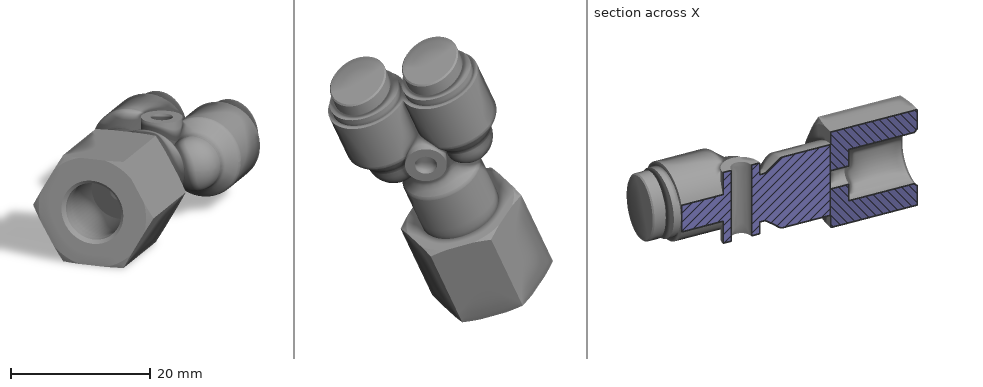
import cadquery as cq
import math


total_length = 42
port_offset = 5.5
barrel_diameter = 11.9
waist_diameter = 8
cone_length = 2.5
stem_blend_radius = 0.85
port_blend_radius = 1.0

nut_length = 14.0
nut_across_flats = 16.0
nut_face_diameter = 16.45
nut_corner_chamfer = 0.38
nut_corner_diameter = nut_across_flats / math.cos(math.pi / 6)
bore_diameter = 8.5
bore_depth = 11.0
bore_mouth_diameter = 9.5
bore_chamfer = (bore_mouth_diameter - bore_diameter) / 2
passage_diameter = 3.0

stem_shoulder_y = 22.0
ball_center_y = 26.95
barrel_shoulder_y = 30.0
barrel_end_y = 38.05
boss_y = 28.4
boss_diameter = 6.0
boss_hole_diameter = 3.2

guide_diameter = 10.6
guide_end_y = 39.2
sleeve_neck_diameter = 5.5
sleeve_head_y = 40.0
sleeve_head_width = 8.6
sleeve_head_height = 10.5
sleeve_chamfer = 0.2

waist_radius = waist_diameter / 2
barrel_radius = barrel_diameter / 2


def section_at(y, x=0):
    """Sketch plane across the Y axis; extrusions from it run toward +Y."""
    return cq.Workplane(cq.Plane(origin=(x, y, 0), xDir=(1, 0, 0), normal=(0, 1, 0)))


def revolve_about_y(profile):
    """Turn a closed half profile, drawn in XY, around the Y axis."""
    return profile.revolve(360, (0, 0, 0), (0, 1, 0))


def blend_edges(solid, shoulder_y, waist_y, radius):
    """Round the circular edges at both ends of a cone."""
    tolerance = 0.005
    for y in (shoulder_y, waist_y):
        slab = cq.selectors.BoxSelector(
            (-total_length, y - tolerance, -total_length),
            (total_length, y + tolerance, total_length),
        )
        solid = solid.edges(slab).fillet(radius)
    return solid


def make_stem():
    """Stem behind the nut, narrowing to the waist and reaching into the ports."""
    waist_y = stem_shoulder_y + cone_length
    profile = (
        cq.Workplane("XY")
        .moveTo(0, nut_length)
        .lineTo(barrel_radius, nut_length)
        .lineTo(barrel_radius, stem_shoulder_y)
        .lineTo(waist_radius, waist_y)
        .lineTo(waist_radius, barrel_shoulder_y)
        .lineTo(0, barrel_shoulder_y)
        .close()
    )
    return blend_edges(revolve_about_y(profile), stem_shoulder_y, waist_y, stem_blend_radius)


def make_port(x):
    """Port barrel, narrowing to a waist that is closed by a half ball."""
    waist_y = barrel_shoulder_y - cone_length
    half_chord = waist_radius * math.sqrt(0.5)
    profile = (
        cq.Workplane("XY")
        .moveTo(0, ball_center_y - waist_radius)
        .threePointArc((half_chord, ball_center_y - half_chord), (waist_radius, ball_center_y))
        .lineTo(waist_radius, waist_y)
        .lineTo(barrel_radius, barrel_shoulder_y)
        .lineTo(barrel_radius, barrel_end_y)
        .lineTo(0, barrel_end_y)
        .close()
    )
    port = blend_edges(revolve_about_y(profile), barrel_shoulder_y, waist_y, port_blend_radius)
    return port.translate((x, 0, 0))


def make_housing():
    """One-piece body: stem, two ports and a cross boss with its through hole."""
    housing = make_stem()
    for x in (-port_offset, port_offset):
        housing = housing.union(make_port(x))
    boss_base = cq.Workplane("XY", origin=(0, boss_y, -barrel_radius))
    boss = boss_base.circle(boss_diameter / 2).extrude(barrel_diameter)
    hole = boss_base.circle(boss_hole_diameter / 2).extrude(barrel_diameter)
    return housing.union(boss).cut(hole)


def make_nut():
    """Hexagon nut with chamfered corners, a blind bore and a passage to the housing."""
    hexagon = section_at(0).polygon(6, nut_corner_diameter).extrude(nut_length)
    face_radius = nut_face_diameter / 2
    corner_radius = nut_corner_diameter / 2
    corner_envelope = revolve_about_y(
        cq.Workplane("XY").polyline([
            (0, 0),
            (face_radius, 0),
            (corner_radius, nut_corner_chamfer),
            (corner_radius, nut_length - nut_corner_chamfer),
            (face_radius, nut_length),
            (0, nut_length),
        ]).close()
    )
    bore_radius = bore_diameter / 2
    bore = revolve_about_y(
        cq.Workplane("XY").polyline([
            (0, 0),
            (bore_mouth_diameter / 2, 0),
            (bore_radius, bore_chamfer),
            (bore_radius, bore_depth),
            (0, bore_depth),
        ]).close()
    )
    passage = section_at(0).circle(passage_diameter / 2).extrude(nut_length)
    return hexagon.intersect(corner_envelope).cut(bore).cut(passage)


def make_guide(x):
    """Guide ring on the end of a port barrel."""
    return section_at(barrel_end_y, x).circle(guide_diameter / 2).extrude(guide_end_y - barrel_end_y)


def make_sleeve(x):
    """Release sleeve: a round neck carrying an oval head with a chamfered end."""
    neck = section_at(guide_end_y, x).circle(sleeve_neck_diameter / 2).extrude(sleeve_head_y - guide_end_y)
    head = (
        section_at(sleeve_head_y, x)
        .ellipse(sleeve_head_width / 2, sleeve_head_height / 2)
        .extrude(total_length - sleeve_head_y)
        .faces(">Y")
        .chamfer(sleeve_chamfer)
    )
    return neck.union(head)


housing = make_housing()
nut = make_nut()
guides = []
sleeves = []
for port_x in (-port_offset, port_offset):
    guides.append(make_guide(port_x).val())
    sleeves.append(make_sleeve(port_x).val())

result = cq.Compound.makeCompound([housing.val(), nut.val(), *guides, *sleeves])